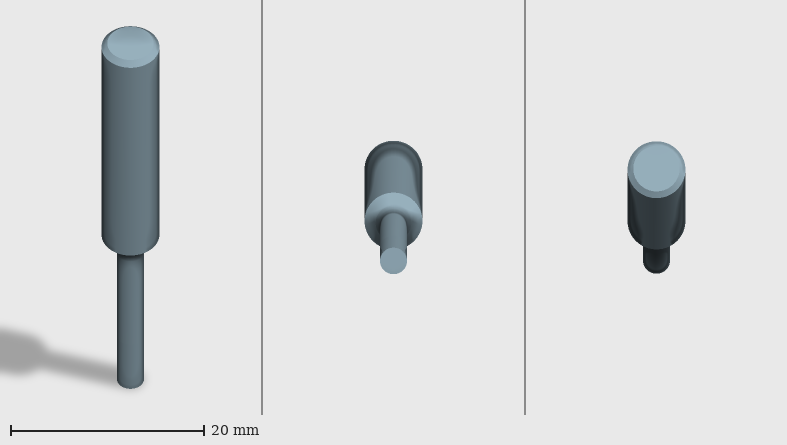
import cadquery as cq
import math

total_length = 50.0
shank_radius = 3.0
neck_radius = 1.4

tip_length = 6.55
shoulder_height = 21.5

chamfer_width = 0.6
chamfer_height = 0.55

cone_angle = math.radians(45)
cone_end_radius = 1.85
neck_end_height = 19.0

cone_end_height = shoulder_height - (shank_radius - cone_end_radius) / math.tan(cone_angle)
fillet_width = cone_end_radius - neck_radius
fillet_height = cone_end_height - neck_end_height
fillet_radius = (fillet_width**2 + fillet_height**2) / (2 * fillet_width)
fillet_angle = math.asin(fillet_height / fillet_radius)


def fillet_point(angle):
    """Point of the fillet at an angle turned from the neck wall."""
    radius = neck_radius + fillet_radius * (1 - math.cos(angle))
    height = neck_end_height + fillet_radius * math.sin(angle)
    return radius, height


def make_shank():
    """Clamping shank with its cone, fillet and slender neck."""
    return (
        cq.Workplane("XZ")
        .moveTo(0, tip_length)
        .lineTo(neck_radius, tip_length)
        .lineTo(neck_radius, neck_end_height)
        .threePointArc(fillet_point(fillet_angle / 2), (cone_end_radius, cone_end_height))
        .lineTo(shank_radius, shoulder_height)
        .lineTo(shank_radius, total_length - chamfer_height)
        .lineTo(shank_radius - chamfer_width, total_length)
        .lineTo(0, total_length)
        .close()
        .revolve(360, (0, 0, 0), (0, 1, 0))
    )


def make_tip():
    """Plain cylindrical tip that butts against the end of the neck."""
    return cq.Workplane("XY").circle(neck_radius).extrude(tip_length)


shank = make_shank()
tip = make_tip()

result = cq.Compound.makeCompound([shank.val(), tip.val()])